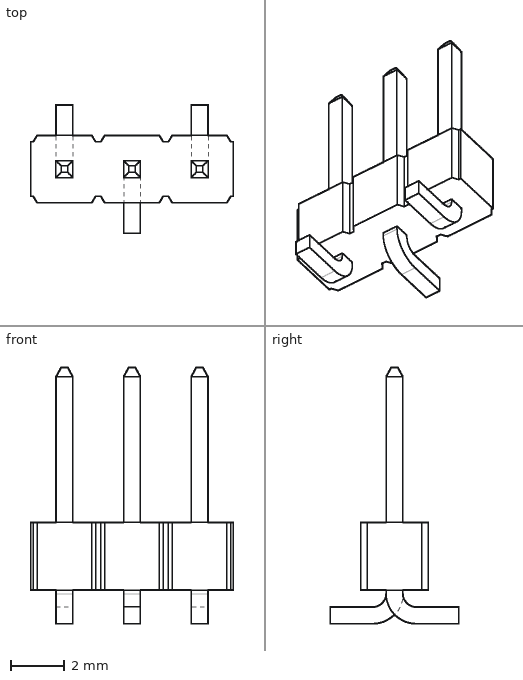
import cadquery as cq
import math

total_height = 9.65
foot_span = 4.83

pin_count = 3
body_length = 7.62
pitch = body_length / pin_count
body_width = pitch
body_height = pitch
body_bottom = 1.27

groove_depth = 0.24
groove_floor_width = 0.19
groove_mouth_width = 0.48

pin_size = 0.64
tip_height = 0.36
tip_size = 0.25
bend_inner_radius = 0.5
bend_outer_radius = bend_inner_radius + pin_size


def make_groove(x, side):
    """Vertical groove at x, cut into the side face at +Y (side = 1) or -Y (side = -1)."""
    face_y = side * body_width / 2
    floor_y = face_y - side * groove_depth
    return (
        cq.Workplane("XY", origin=(0, 0, body_bottom))
        .polyline([
            (x - groove_mouth_width / 2, face_y),
            (x - groove_floor_width / 2, floor_y),
            (x + groove_floor_width / 2, floor_y),
            (x + groove_mouth_width / 2, face_y),
        ])
        .close()
        .extrude(body_height)
    )


def make_body():
    body = (
        cq.Workplane("XY", origin=(0, 0, body_bottom))
        .rect(body_length, body_width)
        .extrude(body_height)
    )
    for index in range(pin_count + 1):
        x = index * pitch - body_length / 2
        for side in (-1, 1):
            body = body.cut(make_groove(x, side))
    return body


def make_pin(x, side):
    """Pin at x: L-shaped leg with its foot toward side * Y, and a tapered tip on top."""
    inner_y = side * pin_size / 2
    outer_y = -inner_y
    bend_center_y = inner_y + side * bend_inner_radius
    foot_end_y = side * foot_span / 2
    tip_start = total_height - tip_height

    diagonal = math.sqrt(0.5)

    def arc_middle(radius):
        return (bend_center_y - side * radius * diagonal, bend_outer_radius - radius * diagonal)

    leg = (
        cq.Workplane("YZ", origin=(x - pin_size / 2, 0, 0))
        .moveTo(outer_y, tip_start)
        .lineTo(outer_y, bend_outer_radius)
        .threePointArc(arc_middle(bend_outer_radius), (bend_center_y, 0))
        .lineTo(foot_end_y, 0)
        .lineTo(foot_end_y, pin_size)
        .lineTo(bend_center_y, pin_size)
        .threePointArc(arc_middle(bend_inner_radius), (inner_y, bend_outer_radius))
        .lineTo(inner_y, tip_start)
        .close()
        .extrude(pin_size)
    )
    tip = (
        cq.Workplane("XY", origin=(x, 0, tip_start))
        .rect(pin_size, pin_size)
        .workplane(offset=tip_height)
        .rect(tip_size, tip_size)
        .loft(ruled=True)
    )
    return leg.union(tip)


result = make_body()
for pin_index in range(pin_count):
    pin_x = (pin_index - (pin_count - 1) / 2) * pitch
    foot_side = 1 if pin_index % 2 == 0 else -1
    result = result.union(make_pin(pin_x, foot_side))